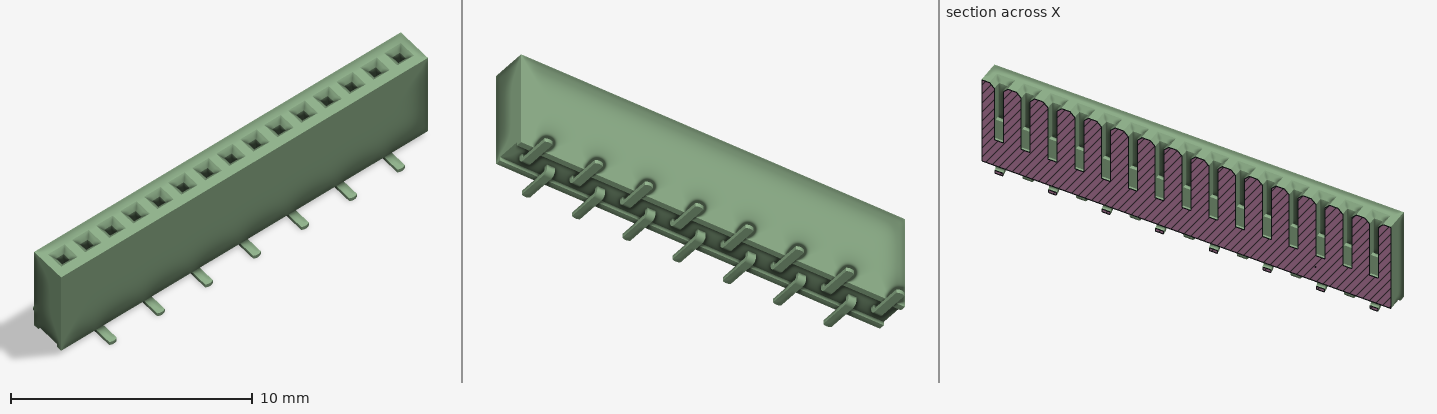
import cadquery as cq
CONTACT_COUNT = 15
PITCH = 1.27
OVERALL_HEIGHT = 4.83

HOUSING_WIDTH = 1.8
HOUSING_LENGTH = 19.4
HOUSING_CLEARANCE = 0.23
RECESS_WIDTH = 1.24
RECESS_DEPTH = 0.18

MOUTH_SIZE = 0.87
HOLE_SIZE = 0.4
MOUTH_DEPTH = (MOUTH_SIZE - HOLE_SIZE) / 2
HOLE_DEPTH = 3.0

STRIP_THICKNESS = 0.18
STRIP_WIDTH = HOLE_SIZE
FOOT_REACH = 3.58 / 2
BEND_INNER_RADIUS = 0.08
BEND_OUTER_RADIUS = BEND_INNER_RADIUS + STRIP_THICKNESS
TIP_CROWN = 0.06
POST_RISE = 1.0

HOLE_FLOOR_Z = OVERALL_HEIGHT - HOLE_DEPTH
POST_TOP_Z = HOLE_FLOOR_Z + POST_RISE
CONTACT_POSITIONS = [(i - (CONTACT_COUNT - 1) / 2) * PITCH for i in range(CONTACT_COUNT)]


def make_housing():
    """Plain block with a channel along the whole underside."""
    block = cq.Workplane("XY").workplane(offset=HOUSING_CLEARANCE).rect(HOUSING_WIDTH, HOUSING_LENGTH)
    block = block.extrude(OVERALL_HEIGHT - HOUSING_CLEARANCE)
    channel = cq.Workplane("XY").workplane(offset=HOUSING_CLEARANCE).rect(RECESS_WIDTH, HOUSING_LENGTH)
    return block.cut(channel.extrude(RECESS_DEPTH))


def make_socket_cutter(y):
    """Flared mouth and square hole of the socket at the given Y."""
    mouth = (
        cq.Workplane("XY", origin=(0, y, OVERALL_HEIGHT))
        .rect(MOUTH_SIZE, MOUTH_SIZE)
        .workplane(offset=-MOUTH_DEPTH)
        .rect(HOLE_SIZE, HOLE_SIZE)
        .loft(ruled=True)
    )
    hole = (
        cq.Workplane("XY", origin=(0, y, HOLE_FLOOR_Z))
        .rect(HOLE_SIZE, HOLE_SIZE)
        .extrude(HOLE_DEPTH - MOUTH_DEPTH)
    )
    return mouth.union(hole)


def make_contact(y, side):
    """Bent strip at the given Y; side is -1 for a foot toward -X, +1 toward +X."""
    inner_x = side * STRIP_THICKNESS / 2
    outer_x = -inner_x
    bend_x = inner_x + side * BEND_INNER_RADIUS
    tip_x = side * FOOT_REACH
    strip = (
        cq.Workplane("XZ", origin=(0, y + STRIP_WIDTH / 2, 0))
        .moveTo(tip_x, 0)
        .lineTo(bend_x, 0)
        .radiusArc((outer_x, BEND_OUTER_RADIUS), side * BEND_OUTER_RADIUS)
        .lineTo(outer_x, POST_TOP_Z)
        .lineTo(inner_x, POST_TOP_Z)
        .lineTo(inner_x, BEND_OUTER_RADIUS)
        .radiusArc((bend_x, STRIP_THICKNESS), -side * BEND_INNER_RADIUS)
        .lineTo(tip_x, STRIP_THICKNESS)
        .close()
        .extrude(STRIP_WIDTH)
    )
    half_width = STRIP_WIDTH / 2
    corner_x = tip_x - side * TIP_CROWN
    plan = (
        cq.Workplane("XY")
        .moveTo(outer_x, y - half_width)
        .lineTo(corner_x, y - half_width)
        .threePointArc((tip_x, y), (corner_x, y + half_width))
        .lineTo(outer_x, y + half_width)
        .close()
        .extrude(POST_TOP_Z)
    )
    return strip.intersect(plan)


result = make_housing()
for position in CONTACT_POSITIONS:
    result = result.cut(make_socket_cutter(position))
for index, position in enumerate(CONTACT_POSITIONS):
    foot_side = -1 if index % 2 == 0 else 1
    result = result.union(make_contact(position, foot_side))